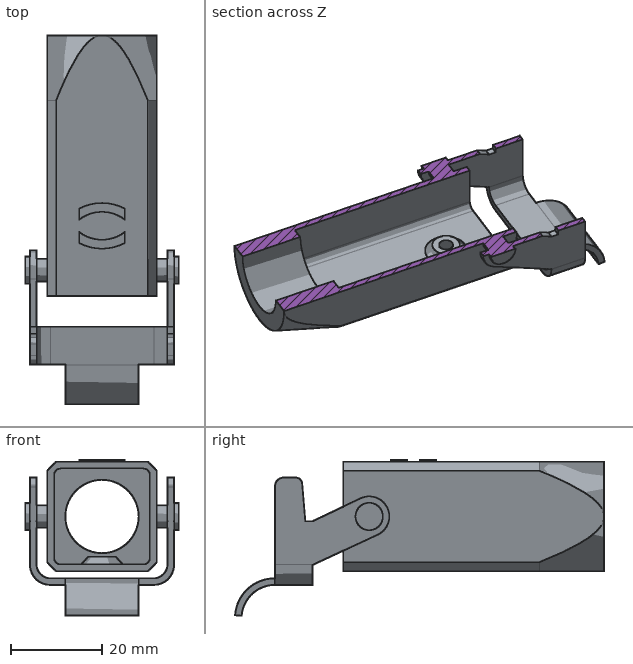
import cadquery as cq
import math


hood_half = 12.0
corner_radius = 15.63
mouth_to_pivot = 5.7
hood_length = 57.1
nose_length = 14.2
wall = 1.5
cavity_corner_radius = 1.5
cable_hole_diameter = 16.0

mouth_y = -mouth_to_pivot
rear_y = mouth_y + hood_length
nose_y = rear_y - nose_length
cavity_half = hood_half - wall

boss_y = 5.5
boss_height = 1.7
boss_top_diameter = 6.0
boss_base_diameter = 9.2
boss_hole_diameter = 3.05

band_height = 0.4
band_half_width = 5.0
mouth_to_bands = 15.4
band_center_y = mouth_y + mouth_to_bands
band_inner_end = 1.35
band_inner_crown = 3.05
band_outer_end = 3.75
band_outer_crown = 5.0

pin_diameter = 5.0
head_diameter = 6.0
head_height = 1.0
pin_embed = 0.5

bail_half_width = 15.8
sheet = 1.5
bend_radius = 4.5
eye_radius = 4.4
arm_slope = math.radians(25)
bail_front_y = -20.65
base_length = 8.3
bail_bottom_z = -15.0
finger_top_z = 8.55
finger_top_length = 5.9
finger_root_length = 6.7
finger_front_radius = 2.0
finger_back_radius = 1.5
notch_z = -1.0
notch_length = 1.6

tongue_width = 16.0
tongue_radius = 8.75
tongue_angle = math.radians(86)


def box_along_y(half, y_start, y_end):
    """Square bar of the given half width, centred on the hood axis."""
    length = y_end - y_start
    return cq.Workplane("XY").box(2 * half, length, 2 * half).translate((0, y_start + length / 2, 0))


def make_hood():
    """Square tube whose corners follow a cylinder and whose rear end follows a cone."""
    bar = box_along_y(hood_half, mouth_y, rear_y)
    round_envelope = (
        cq.Workplane("XY")
        .moveTo(0, mouth_y)
        .lineTo(corner_radius, mouth_y)
        .lineTo(corner_radius, nose_y)
        .lineTo(hood_half, rear_y)
        .lineTo(0, rear_y)
        .close()
        .revolve(360, (0, 0, 0), (0, 1, 0))
    )
    cavity = box_along_y(cavity_half, mouth_y, nose_y).edges("|Y").fillet(cavity_corner_radius)
    cable_hole = (
        cq.Workplane("XZ", origin=(0, rear_y, 0))
        .circle(cable_hole_diameter / 2)
        .extrude(hood_length)
    )
    return bar.intersect(round_envelope).cut(cavity).cut(cable_hole)


def add_screw_boss(hood):
    """Conical boss on the cavity floor, drilled through the bottom wall."""
    boss = (
        cq.Workplane("XY", origin=(0, boss_y, -cavity_half))
        .circle(boss_base_diameter / 2)
        .workplane(offset=boss_height)
        .circle(boss_top_diameter / 2)
        .loft()
    )
    hole = (
        cq.Workplane("XY", origin=(0, boss_y, -hood_half))
        .circle(boss_hole_diameter / 2)
        .extrude(wall + boss_height)
    )
    return hood.union(boss).cut(hole)


def make_band(side):
    """Raised arched band on the roof; side is +1 for the rear one, -1 for the front one."""
    return (
        cq.Workplane("XY", origin=(0, band_center_y, hood_half))
        .moveTo(-band_half_width, side * band_inner_end)
        .threePointArc((0, side * band_inner_crown), (band_half_width, side * band_inner_end))
        .lineTo(band_half_width, side * band_outer_end)
        .threePointArc((0, side * band_outer_crown), (-band_half_width, side * band_outer_end))
        .close()
        .extrude(band_height)
    )


def make_pin(side):
    """Headed pivot pin on the side wall; side is +1 for +X, -1 for -X."""
    start_x = hood_half - pin_embed
    shank = (
        cq.Workplane("YZ", origin=(side * start_x, 0, 0))
        .circle(pin_diameter / 2)
        .extrude(side * (bail_half_width - start_x))
    )
    head = (
        cq.Workplane("YZ", origin=(side * bail_half_width, 0, 0))
        .circle(head_diameter / 2)
        .extrude(side * head_height)
    )
    return shank.union(head)


def make_bail_profile():
    """Side outline of the bail, filling its whole width."""
    tangent_y = eye_radius * math.sin(arm_slope)
    tangent_z = eye_radius * math.cos(arm_slope)
    base_rear_y = bail_front_y + base_length
    finger_root_y = bail_front_y + finger_root_length
    notch_rear_y = finger_root_y + notch_length
    arm_bottom_z = -tangent_z + (base_rear_y - tangent_y) * math.tan(arm_slope)
    profile = (
        cq.Workplane("YZ", origin=(-bail_half_width, 0, 0))
        .moveTo(-tangent_y, tangent_z)
        .threePointArc((tangent_z, tangent_y), (tangent_y, -tangent_z))
        .lineTo(base_rear_y, arm_bottom_z)
        .lineTo(base_rear_y, bail_bottom_z)
        .lineTo(bail_front_y, bail_bottom_z)
        .lineTo(bail_front_y, finger_top_z)
        .lineTo(bail_front_y + finger_top_length, finger_top_z)
        .lineTo(finger_root_y, notch_z)
        .lineTo(notch_rear_y, notch_z)
        .close()
        .extrude(2 * bail_half_width)
    )
    top_edges = profile.faces(">Z").edges("|X")
    profile = top_edges.edges("<Y").fillet(finger_front_radius)
    return profile.faces(">Z").edges(">Y").fillet(finger_back_radius)


def make_bail():
    """U-shaped bent sheet: two arms joined by a base below the hood."""
    channel_height = finger_top_z - bail_bottom_z
    channel_length = 2 * (eye_radius - bail_front_y)

    def channel(half_width, bottom_z, radius):
        block = cq.Workplane("XY").box(2 * half_width, channel_length, channel_height)
        bent = block.edges("|Y and <Z").fillet(radius)
        return bent.translate((0, 0, bottom_z + channel_height / 2))

    outside = channel(bail_half_width, bail_bottom_z, bend_radius)
    inside = channel(bail_half_width - sheet, bail_bottom_z + sheet, bend_radius - sheet)
    return make_bail_profile().intersect(outside.cut(inside))


def make_tongue():
    """Curved pull tongue leaving the base tangentially and curling downward."""
    center_y = bail_front_y
    center_z = bail_bottom_z + sheet - tongue_radius

    def arc_point(radius, angle):
        return (center_y - radius * math.sin(angle), center_z + radius * math.cos(angle))

    inner_radius = tongue_radius - sheet
    half_angle = tongue_angle / 2
    return (
        cq.Workplane("YZ", origin=(-tongue_width / 2, 0, 0))
        .moveTo(*arc_point(tongue_radius, 0))
        .threePointArc(arc_point(tongue_radius, half_angle), arc_point(tongue_radius, tongue_angle))
        .lineTo(*arc_point(inner_radius, tongue_angle))
        .threePointArc(arc_point(inner_radius, half_angle), arc_point(inner_radius, 0))
        .close()
        .extrude(tongue_width)
    )


result = add_screw_boss(make_hood())
for side in (-1, 1):
    result = result.union(make_band(side))
    result = result.union(make_pin(side))
result = result.union(make_bail()).union(make_tongue())